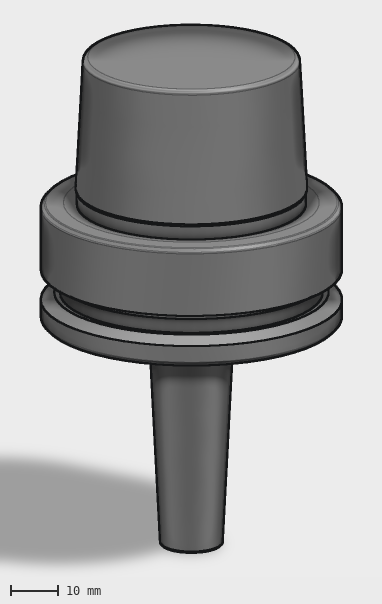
import cadquery as cq
import math

total_height = 106.9
flange_bottom = 49.1
groove_floor_bottom = 55.3
groove_floor_top = 58.7
flange_top = 74.9
shank_rim_bottom = 77.5
shank_rim_top = 78.0

flange_diameter = 63.0
flange_radius = flange_diameter / 2
flange_edge = 0.9
flange_edge_rounding = 0.4
groove_floor_radius = 27.5
groove_shoulder_radius = 28.6
groove_flare_height = 1.6
dish_radius = 26.7
dish_depth = 0.3

neck_radius = 23.9
shank_base_diameter = 48.4
shank_base_radius = shank_base_diameter / 2
shank_top_radius = 22.7
shank_top_fillet = 1.1

tip_diameter = 13.1
tip_radius = tip_diameter / 2
tip_chamfer = 0.4
stem_root_radius = 8.9
stem_root_fillet = 2.8


def revolved(points):
    """Turn a closed (radius, height) outline about the Z axis."""
    return cq.Workplane("XZ").polyline(points).close().revolve(360, (0, 0, 0), (0, 1, 0))


def make_stem():
    """Tapered stem with a rounded root that blends into the flange."""
    root_height = flange_bottom - stem_root_fillet
    arc_sag = stem_root_fillet * (1 - math.sqrt(0.5))
    return (
        cq.Workplane("XZ")
        .lineTo(tip_radius - tip_chamfer, 0)
        .lineTo(tip_radius, tip_chamfer)
        .lineTo(stem_root_radius, root_height)
        .threePointArc(
            (stem_root_radius + arc_sag, flange_bottom - arc_sag),
            (stem_root_radius + stem_root_fillet, flange_bottom),
        )
        .lineTo(0, flange_bottom)
        .close()
        .revolve(360, (0, 0, 0), (0, 1, 0))
    )


def make_flange():
    """Flange with softened outer chamfers, a flared groove and a shallow dished top face."""
    flange = revolved([
        (0, flange_bottom),
        (flange_radius - flange_edge, flange_bottom),
        (flange_radius, flange_bottom + flange_edge),
        (flange_radius, groove_floor_bottom - groove_flare_height),
        (groove_shoulder_radius, groove_floor_bottom),
        (groove_floor_radius, groove_floor_bottom),
        (groove_floor_radius, groove_floor_top),
        (groove_shoulder_radius, groove_floor_top),
        (flange_radius, groove_floor_top + groove_flare_height),
        (flange_radius, flange_top - flange_edge),
        (flange_radius - flange_edge, flange_top),
        (dish_radius, flange_top),
        (neck_radius, flange_top - dish_depth),
        (0, flange_top - dish_depth),
    ])
    edge_margin = flange_edge / 10
    inner_limit = (dish_radius + flange_radius) / 2
    for chamfer_start, chamfer_end in (
        (flange_bottom, flange_bottom + flange_edge),
        (flange_top - flange_edge, flange_top),
    ):
        chamfer_edges = cq.selectors.BoxSelector(
            (-flange_diameter, -flange_diameter, chamfer_start - edge_margin),
            (flange_diameter, flange_diameter, chamfer_end + edge_margin),
            boundingbox=True,
        ) - cq.selectors.BoxSelector(
            (-inner_limit, -inner_limit, 0), (inner_limit, inner_limit, total_height), boundingbox=True
        )
        flange = flange.edges("%CIRCLE").edges(chamfer_edges).fillet(flange_edge_rounding)
    return flange


def make_shank():
    """Tapered shank on a slightly narrower neck, rounded at its top edge."""
    shank = revolved([
        (0, flange_top - dish_depth),
        (neck_radius, flange_top - dish_depth),
        (neck_radius, shank_rim_bottom),
        (shank_base_radius, shank_rim_top),
        (shank_top_radius, total_height),
        (0, total_height),
    ])
    return shank.faces(">Z").edges().fillet(shank_top_fillet)


result = make_stem().union(make_flange()).union(make_shank())